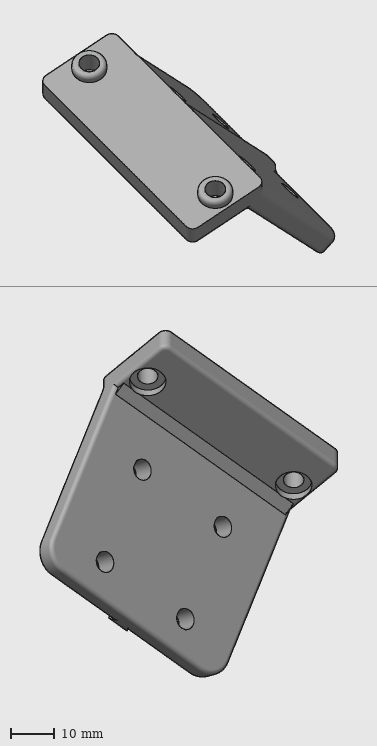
import cadquery as cq
import math

width = 56.0
thickness = 6.0
plate_depth = 22.2
slope_angle = 60.0
tip_distance = 61.7

large_round = 2.0
small_round = 1.0
tip_corner_radius = 6.0
rear_bend_radius = 3.0
inner_bend_chamfer = 1.85

rib_height = 1.45
rib_top_width = 2.0
rib_base_width = 5.9
rib_end_radius = 2.45

boss_diameter = 8.2
boss_height = 2.0
boss_hole_diameter = 4.75
boss_spacing = 46.35
boss_y = 11.1
socket_diameter = 8.45
socket_depth = boss_height

mount_diameter = 5.0
mount_spacing = 25.55
mount_end_margin = 8.5

cos_slope = math.cos(math.radians(slope_angle))
sin_slope = math.sin(math.radians(slope_angle))

rib_offset = plate_depth * sin_slope
rear_offset = rib_offset - rib_height
front_offset = rear_offset - thickness


def slope_point(distance, offset):
    """Return (y, z) for a distance down the slope and an offset square to it."""
    y = offset * sin_slope + distance * cos_slope
    z = offset * cos_slope - distance * sin_slope
    return (y, z)


def slope_plane(offset):
    """Plane on a sloping face: local x is X, local y runs down the slope."""
    y, z = slope_point(0, offset)
    return cq.Plane(origin=(0, y, z), xDir=(1, 0, 0), normal=(0, sin_slope, cos_slope))


def make_plates():
    rear_bend_z = -rib_height / cos_slope
    inner_bend_y = (front_offset + thickness * cos_slope) / sin_slope
    profile = [
        (0, 0),
        (plate_depth, 0),
        (plate_depth, rear_bend_z),
        slope_point(tip_distance, rear_offset),
        slope_point(tip_distance, front_offset),
        (inner_bend_y, -thickness),
        (0, -thickness),
    ]
    body = cq.Workplane("YZ").polyline(profile).close().extrude(width / 2, both=True)

    tip_y, tip_z = slope_point(tip_distance, (rear_offset + front_offset) / 2)
    for side in (-1, 1):
        tip_corner = cq.selectors.NearestToPointSelector((side * width / 2, tip_y, tip_z))
        body = body.edges(tip_corner).fillet(tip_corner_radius)
    body = body.edges("|Z and <Y").fillet(large_round)

    rear_bend = cq.selectors.NearestToPointSelector((0, plate_depth, rear_bend_z))
    body = body.edges(rear_bend).fillet(rear_bend_radius)
    rear_edge = cq.selectors.NearestToPointSelector((width / 2, *slope_point(tip_distance / 2, rear_offset)))
    body = body.edges(rear_edge).fillet(large_round)

    nearest = cq.selectors.NearestToPointSelector
    slope_edge = nearest((width / 2, *slope_point(tip_distance / 2, front_offset)))
    flat_edge = nearest((width / 2, plate_depth / 2, -thickness))
    body = body.edges(slope_edge + flat_edge).fillet(small_round)
    web_profile = [
        (inner_bend_y + inner_bend_chamfer * cos_slope, -thickness - inner_bend_chamfer * sin_slope),
        (inner_bend_y - inner_bend_chamfer, -thickness),
        (inner_bend_y, small_round - thickness),
    ]
    web = cq.Workplane("YZ").polyline(web_profile).close().extrude(width / 2 - small_round, both=True)
    return body.union(web)


def make_rib():
    """Rib whose flanks are S-curves of two equal arcs, with a rounded lower end."""
    half_top = rib_top_width / 2
    half_base = rib_base_width / 2
    flank_run = half_base - half_top
    sweep = 2 * math.atan2(rib_height, flank_run)
    radius = flank_run / (2 * math.sin(sweep))
    arc_run = radius * math.sin(sweep / 2)
    arc_drop = radius * (1 - math.cos(sweep / 2))
    middle = (half_top + half_base) / 2
    root = rear_offset - thickness / 2

    def mirrored(point):
        return (-point[0], point[1])

    top = (half_top, rib_offset)
    upper_arc = (half_top + arc_run, rib_offset - arc_drop)
    flank_middle = (middle, rib_offset - rib_height / 2)
    lower_arc = (half_base - arc_run, rear_offset + arc_drop)
    base = (half_base, rear_offset)
    section_plane = cq.Plane(origin=(0, 0, 0), xDir=(1, 0, 0), normal=(0, -cos_slope, sin_slope))
    rib = (
        cq.Workplane(section_plane)
        .moveTo(*mirrored(top))
        .lineTo(*top)
        .threePointArc(upper_arc, flank_middle)
        .threePointArc(lower_arc, base)
        .lineTo(half_top, root)
        .lineTo(-half_top, root)
        .lineTo(*mirrored(base))
        .threePointArc(mirrored(lower_arc), mirrored(flank_middle))
        .threePointArc(mirrored(upper_arc), mirrored(top))
        .close()
        .extrude(-tip_distance)
    )
    side_profile = [
        (plate_depth, 0),
        slope_point(tip_distance, rib_offset),
        slope_point(tip_distance, root),
        (plate_depth - thickness / 2, 0),
    ]
    envelope = cq.Workplane("YZ").polyline(side_profile).close().extrude(width / 2, both=True)
    rib_end = cq.selectors.NearestToPointSelector((0, *slope_point(tip_distance, rib_offset)))
    return rib.intersect(envelope.edges(rib_end).fillet(rib_end_radius))


def add_bosses(body):
    centers = [(-boss_spacing / 2, boss_y), (boss_spacing / 2, boss_y)]
    bosses = cq.Workplane("XY").pushPoints(centers).circle(boss_diameter / 2).extrude(boss_height)
    bosses = bosses.faces(">Z").edges().fillet(small_round)
    holes = (
        cq.Workplane("XY", origin=(0, 0, boss_height))
        .pushPoints(centers)
        .circle(boss_hole_diameter / 2)
        .extrude(-2 * thickness)
    )
    sockets = (
        cq.Workplane("XY", origin=(0, 0, socket_depth - thickness))
        .pushPoints(centers)
        .circle(socket_diameter / 2)
        .extrude(-thickness)
    )
    return body.union(bosses).cut(holes).cut(sockets)


def cut_mounting_holes(body):
    center_distance = tip_distance - mount_end_margin - mount_spacing / 2
    holes = (
        cq.Workplane(slope_plane(rear_offset))
        .center(0, center_distance)
        .rect(mount_spacing, mount_spacing, forConstruction=True)
        .vertices()
        .circle(mount_diameter / 2)
        .extrude(thickness, both=True)
    )
    return body.cut(holes)


result = make_plates().union(make_rib())
result = cut_mounting_holes(add_bosses(result))